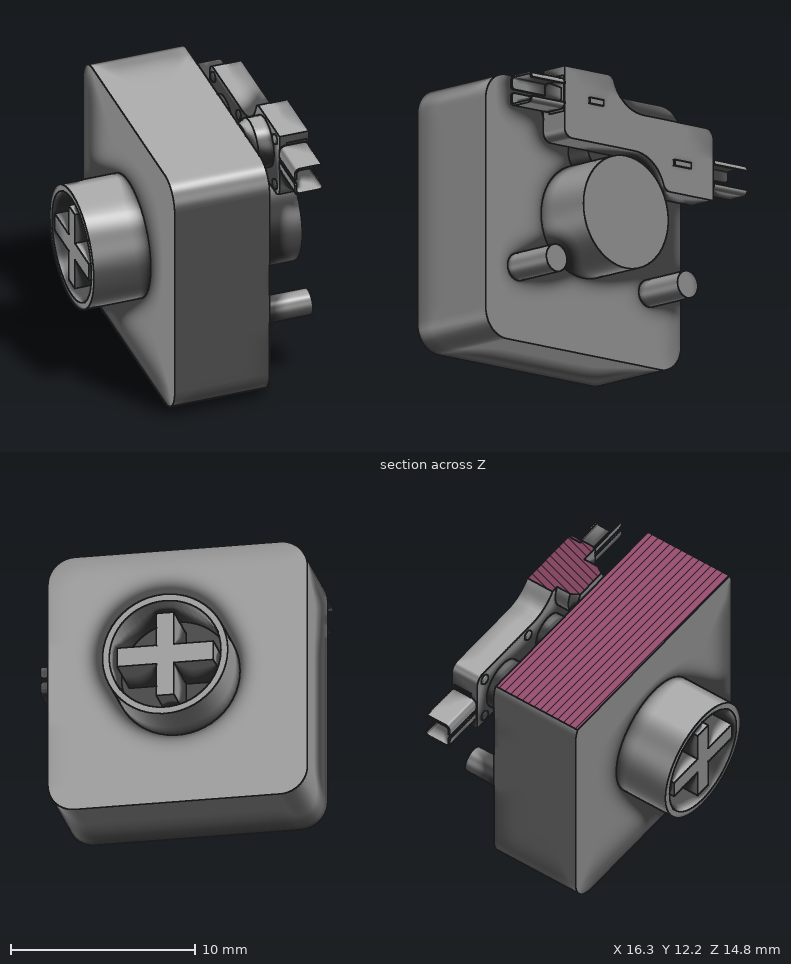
import cadquery as cq
import math


case_width = 14.4
case_height = 14.7
case_depth = 5.5
case_corner_radius = 1.5

stem_diameter = 6.95
stem_bore_diameter = 6.2
stem_length = 3.3
cross_width = 5.34
cross_height = 4.78
cross_upright_thickness = 0.98
cross_bar_thickness = 1.07

overall_depth = 12.2
rear_reach = overall_depth - case_depth - stem_length
centre_post_diameter = 6.25
top_post_diameter = 2.25
top_post_z = 3.71
guide_post_diameter = 1.51
guide_post_length = 3.1
guide_post_x = 4.83
guide_post_z = -3.24

pin_thickness = 0.33
left_pin_width = 1.2
left_pin_x = -4.23
left_pin_z = 3.32
right_pin_width = 1.0
right_pin_x = 2.12

socket_front_y = 1.6
socket_rear_y = 3.3
socket_thickness = socket_rear_y - socket_front_y
socket_centre_x = -1.05
socket_half_width = 5.48
socket_bottom_z = 1.65
socket_rise = 0.15
socket_top_z = case_height / 2 + socket_rise
socket_centre_z = (socket_bottom_z + socket_top_z) / 2
shoulder_z = 5.61
shoulder_corner_radius = 0.54
sweep_start_x = -1.4
hollow_radius = 2.28
round_radius = 0.49
right_pin_z = 2 * socket_centre_z - left_pin_z

collar_diameter = 2.9
collar_end_y = 0.25
collar_taper_length = 0.47
collar_taper_depth = 0.25

foot_diameter = 0.57
foot_height = 0.11
foot_edge_radius = 0.07
foot_x = -5.9
inner_foot_x = -1.89
upper_foot_z = 5.08
lower_foot_z = 2.18

clip_length = 2.44
clip_height = 1.71
clip_wall = 0.122
clip_corner_radius = 0.33
clip_inner_radius = 0.15
clip_slit = 0.2
slit_end_chamfer = 0.11
overall_width = 16.27
clip_left_tip_x = case_width / 2 - overall_width
clip_left_z = 3.15
tab_length = 0.13
tab_front_y = 2.03
tab_overhang = 0.15
tab_notch_rear_y = 3.0
tab_notch_rear_height = 0.65


def block(x_range, y_range, z_range):
    """Box given by its two limits along each axis."""
    size = [high - low for low, high in (x_range, y_range, z_range)]
    corner = (x_range[0], y_range[0], z_range[0])
    return cq.Workplane("XY").box(*size, centered=False).translate(corner)


def centred(middle, size):
    """Lower and upper limit of a length set around its middle."""
    return middle - size / 2, middle + size / 2


def rod(x, z, diameter, y_start, y_end):
    """Cylinder along Y between two Y values."""
    disc = cq.Workplane("XZ", origin=(x, y_start, z)).circle(diameter / 2)
    return disc.extrude(y_start - y_end)


def half_turn(x, z):
    """The point opposite (x, z) across the centre of the socket."""
    return 2 * socket_centre_x - x, 2 * socket_centre_z - z


def make_pins():
    """The two flat pins behind the case."""
    left = block(
        centred(left_pin_x, left_pin_width),
        (0, rear_reach),
        centred(left_pin_z, pin_thickness),
    )
    right = block(
        centred(right_pin_x, right_pin_width),
        (0, rear_reach),
        centred(right_pin_z, pin_thickness),
    )
    return left, right


def make_stem():
    """Hollow round stem with a cross standing on the floor of its bore."""
    y_front = -case_depth - stem_length
    y_range = (y_front, -case_depth)
    stem = rod(0, 0, stem_diameter, y_front, -case_depth)
    stem = stem.cut(rod(0, 0, stem_bore_diameter, y_front, -case_depth))
    upright = block(centred(0, cross_upright_thickness), y_range, centred(0, cross_height))
    bar = block(centred(0, cross_width), y_range, centred(0, cross_bar_thickness))
    return stem, upright.union(bar)


def make_switch():
    switch = block(centred(0, case_width), (-case_depth, 0), centred(0, case_height))
    switch = switch.edges("|Y").fillet(case_corner_radius)
    for feature in make_stem():
        switch = switch.union(feature)
    switch = switch.union(rod(0, 0, centre_post_diameter, 0, rear_reach))
    switch = switch.union(rod(0, top_post_z, top_post_diameter, 0, socket_front_y))
    for x in (-guide_post_x, guide_post_x):
        switch = switch.union(rod(x, guide_post_z, guide_post_diameter, 0, guide_post_length))
    for pin in make_pins():
        switch = switch.union(pin)
    return switch


def half_outline():
    """Points of the upper half of the outline, from the left wall to the right wall.

    A rounded corner leads to the flat shoulder. A hollow arc then sweeps up and
    runs smoothly into a small rounded arc that ends on the flat top.
    """
    sweep_total_radius = hollow_radius + round_radius
    rise = socket_top_z - shoulder_z
    run = math.sqrt(2 * rise * sweep_total_radius - rise**2)
    sweep_angle = math.asin(run / sweep_total_radius)
    hollow_centre = (sweep_start_x, shoulder_z + hollow_radius)
    round_centre = (sweep_start_x + run, socket_top_z - round_radius)

    def on_hollow(angle):
        return (
            hollow_centre[0] + hollow_radius * math.sin(angle),
            hollow_centre[1] - hollow_radius * math.cos(angle),
        )

    def on_round(angle):
        return (
            round_centre[0] - round_radius * math.sin(angle),
            round_centre[1] + round_radius * math.cos(angle),
        )

    left_x = socket_centre_x - socket_half_width
    corner_inset = shoulder_corner_radius * (1 - math.sqrt(0.5))
    return {
        "wall_end": (left_x, shoulder_z - shoulder_corner_radius),
        "corner_middle": (left_x + corner_inset, shoulder_z - corner_inset),
        "shoulder_start": (left_x + shoulder_corner_radius, shoulder_z),
        "hollow_start": on_hollow(0),
        "hollow_middle": on_hollow(sweep_angle / 2),
        "hollow_end": on_hollow(sweep_angle),
        "round_middle": on_round(sweep_angle / 2),
        "round_end": on_round(0),
        "top_corner": (socket_centre_x + socket_half_width, socket_top_z),
    }


def make_socket_plate():
    upper = half_outline()
    lower = {name: half_turn(*point) for name, point in upper.items()}
    outline = cq.Workplane("XZ", origin=(0, socket_front_y, 0)).moveTo(*lower["top_corner"])
    for half in (upper, lower):
        outline = (
            outline.lineTo(*half["wall_end"])
            .threePointArc(half["corner_middle"], half["shoulder_start"])
            .lineTo(*half["hollow_start"])
            .threePointArc(half["hollow_middle"], half["hollow_end"])
            .threePointArc(half["round_middle"], half["round_end"])
            .lineTo(*half["top_corner"])
        )
    return outline.close().extrude(-socket_thickness)


def make_collar(x, z):
    """Round collar around a pin, tapered at its free end."""
    collar = rod(x, z, collar_diameter, collar_end_y, socket_front_y)
    return collar.faces("<Y").chamfer(collar_taper_length, collar_taper_depth)


def make_foot(x, z):
    """Small round stud with a rounded rim on the front face of the socket."""
    foot = rod(x, z, foot_diameter, socket_front_y - foot_height, socket_front_y)
    return foot.faces("<Y").edges().fillet(foot_edge_radius)


def make_socket(clips):
    socket = make_socket_plate()
    left_collar = (left_pin_x, left_pin_z)
    for x, z in (left_collar, half_turn(*left_collar)):
        socket = socket.union(make_collar(x, z))
    left_feet = [(foot_x, upper_foot_z), (foot_x, lower_foot_z)]
    right_feet = [half_turn(x, z) for x, z in left_feet]
    for x, z in left_feet + right_feet + [(inner_foot_x, upper_foot_z)]:
        socket = socket.union(make_foot(x, z))
    for pin in make_pins():
        socket = socket.cut(pin)
    for clip in clips:
        socket = socket.cut(clip)
    return socket


def make_root_tab(root_x):
    """Thin C-shaped tab that joins the two halves of a clip at its root.

    Its notch opens to the front and widens from its rear edge to the tube's inner height.
    """
    half_height = clip_height / 2 + tab_overhang
    mouth_half = clip_height / 2 - clip_wall
    notch_half = tab_notch_rear_height / 2
    tab_rear_y = socket_rear_y - clip_wall
    tab = (
        cq.Workplane("YZ", origin=(root_x, 0, clip_left_z))
        .moveTo(tab_front_y, half_height)
        .lineTo(tab_rear_y, half_height)
        .lineTo(tab_rear_y, -half_height)
        .lineTo(tab_front_y, -half_height)
        .lineTo(tab_front_y, -mouth_half)
        .lineTo(tab_notch_rear_y, -notch_half)
        .lineTo(tab_notch_rear_y, notch_half)
        .lineTo(tab_front_y, mouth_half)
        .close()
    )
    return tab.extrude(tab_length)


def make_clip():
    """The left clip: a thin square tube along X, slit in front and open at the rear."""
    tip_x = clip_left_tip_x
    root_x = tip_x + clip_length
    clip_bottom, clip_top = centred(clip_left_z, clip_height)
    x_range = (tip_x, root_x)
    y_range = (socket_front_y, socket_rear_y)
    inner_y = (socket_front_y + clip_wall, socket_rear_y - clip_wall)
    inner_z = (clip_bottom + clip_wall, clip_top - clip_wall)

    tube = block(x_range, y_range, (clip_bottom, clip_top))
    tube = tube.edges("|X").fillet(clip_corner_radius)
    bore = block(x_range, inner_y, inner_z).edges("|X").fillet(clip_inner_radius)
    tube = tube.cut(bore)

    middle_y = (socket_front_y + socket_rear_y) / 2
    slit_z = centred(clip_left_z, clip_slit)
    slit = block(x_range, (socket_front_y, middle_y), slit_z)
    mouth_half = clip_slit / 2 + slit_end_chamfer
    mouth = (
        cq.Workplane("XZ", origin=(0, socket_front_y, 0))
        .moveTo(tip_x, clip_left_z - mouth_half)
        .lineTo(tip_x + mouth_half, clip_left_z)
        .lineTo(tip_x, clip_left_z + mouth_half)
        .close()
        .extrude(socket_front_y - middle_y)
    )
    opening_z = (clip_bottom + clip_corner_radius, clip_top - clip_corner_radius)
    opening = block(x_range, (middle_y, socket_rear_y), opening_z)
    clip = tube.cut(slit).cut(mouth).cut(opening)

    return clip.union(make_root_tab(root_x))


def make_clips():
    """The left clip, and its copy turned half a turn and set against the right wall."""
    left = make_clip()
    socket_axis = ((socket_centre_x, 0, socket_centre_z), (socket_centre_x, 1, socket_centre_z))
    right = left.rotate(*socket_axis, 180).translate((-tab_length, 0, 0))
    return left, right


clips = make_clips()
switch = make_switch()
socket = make_socket(clips)
result = cq.Compound.makeCompound([switch.val(), socket.val(), *[clip.val() for clip in clips]])